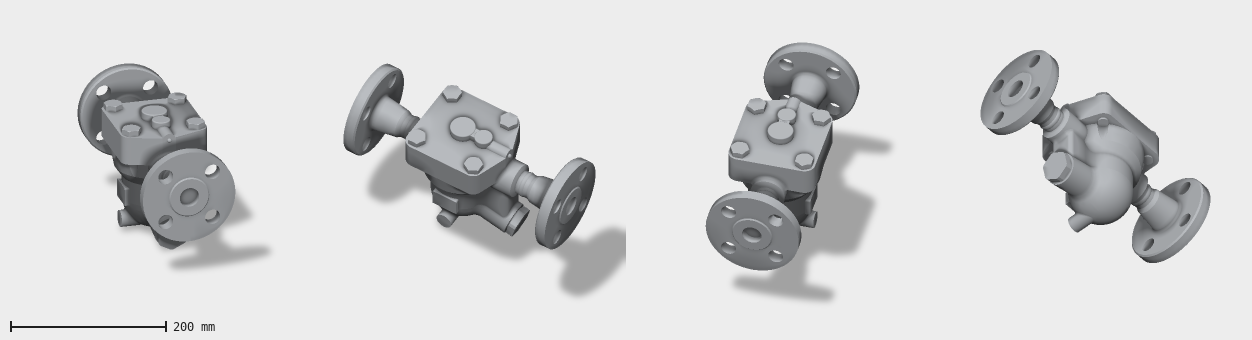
import cadquery as cq
import math


face_to_face = 309.0
run_middle_x = 10.0
flange_radius = 62.0
flange_edge_break = 2.0
flange_back = 137.0
raised_face_height = 1.6
raised_face_radius = 25.4
raised_face_base_radius = 27.0
bolt_hole_diameter = 20.0
bolt_hole_count = 4
bolt_circle_diameter = 88.9
bore_diameter = 26.0
bore_depth = 10.0
hub_fillet = 3.3
hub_large_radius = 23.4
hub_small_radius = 19.0
hub_small_end = 101.7
neck_radius = 16.0
neck_outer_end = 96.1
weld_bead_radius = 17.0
weld_bead_outer = 90.4
weld_bead_inner = 84.2
socket_radius = 23.0
socket_end = 75.9
socket_shoulder_end = 79.2

plate_half_width = 57.5
plate_corner_radius = 14.0
plate_bottom = 7.0
plate_seam = 26.7
plate_top = 44.7
nose_x = 70.0
nose_half_width = 9.0
nose_slant = math.radians(19.6)
plate_pipe_fillet = 3.5

bolt_offset = 43.0
bolt_across_flats = 22.0
bolt_head_height = 8.0
bolt_head_chamfer = 1.0
bolt_shank_diameter = 14.0
bolt_shank_bottom = plate_bottom - 2.8
bolt_relief_radius = 8.6

boss_top = 55.3
boss_edge_radius = 1.5
center_boss_radius = 16.7
side_boss_radius = 12.0
side_boss_x = 31.4
link_rib_width = 14.0
link_rib_top = 54.0
nose_rib_radius = 9.0
nose_rib_axis_z = 41.3
nose_dome_radius = 3.0
nose_dome_x = nose_x + 0.5

bowl_radius = 42.0
dome_center_z = -62.6
bowl_cone_bottom = -33.0
bowl_shoulder_z = -19.0
bowl_shoulder_radius = 52.2
bowl_top_radius = 57.5

pad_x = (-18.6, 17.7)
pad_z = (-66.5, -42.3)
pad_face_y = -44.7
pad_corner_radius = 2.5

drain_radius = 11.0
drain_z = -91.0
drain_end_y = -46.5
drain_fillet = 2.5

web_half_width = 17.0
web_end_x = 76.4
web_end_radius = 6.0
web_root_radius = 16.0
web_sink = 12.0
web_root_y = web_half_width + web_root_radius
web_root_x = math.sqrt((bowl_radius + web_root_radius) ** 2 - web_root_y**2)
web_bottom = dome_center_z - bowl_radius
web_pipe_fillet = 5.0
web_branch_fillet = 3.0

branch_angle = 15.0
branch_radius = 22.0
branch_end = 80.0
branch_root_radius = 15.0
plug_across_flats = 37.5
plug_corner_radius = 20.55
plug_seat_radius = 17.0
plug_hex_start = 81.5
plug_end = 91.3


def cylinder_x(radius, x_start, x_end, z=0.0):
    return cq.Workplane("YZ", origin=(x_start, 0, z)).circle(radius).extrude(x_end - x_start)


def cylinder_z(radius, z_start, z_end, x=0.0, y=0.0):
    return cq.Workplane("XY", origin=(x, y, z_start)).circle(radius).extrude(z_end - z_start)


def hex_prism(across_flats, height):
    return cq.Workplane("XY").polygon(6, across_flats / math.cos(math.pi / 6)).extrude(height)


def chamfered_hex(across_flats, height, chamfer):
    """Hexagonal head with the outer corners turned off at its top."""
    corner_radius = across_flats / 2 / math.cos(math.pi / 6)
    turned = cq.Workplane("XY").circle(corner_radius).extrude(height)
    turned = turned.faces(">Z").chamfer(chamfer, corner_radius - across_flats / 2)
    return hex_prism(across_flats, height).intersect(turned)


def flanged_end():
    """Neck, welding hub and flange on the +X end, measured from the run middle."""
    face = face_to_face / 2
    step = face - raised_face_height
    body = (
        cq.Workplane("XY")
        .moveTo(socket_end - 1, 0)
        .lineTo(socket_end - 1, socket_radius)
        .lineTo(socket_end, socket_radius)
        .lineTo(socket_shoulder_end, neck_radius)
        .lineTo(weld_bead_inner, neck_radius)
        .threePointArc(
            ((weld_bead_inner + weld_bead_outer) / 2, weld_bead_radius),
            (weld_bead_outer, neck_radius),
        )
        .lineTo(neck_outer_end, neck_radius)
        .lineTo(hub_small_end, hub_small_radius)
        .lineTo(flange_back - hub_fillet, hub_large_radius)
        .radiusArc((flange_back, hub_large_radius + hub_fillet), -hub_fillet)
        .lineTo(flange_back, flange_radius - flange_edge_break)
        .lineTo(flange_back + flange_edge_break, flange_radius)
        .lineTo(step, flange_radius)
        .lineTo(step, raised_face_base_radius)
        .lineTo(face, raised_face_radius)
        .lineTo(face, 0)
        .close()
        .revolve(360, (0, 0, 0), (1, 0, 0))
    )
    holes = (
        cq.Workplane("YZ", origin=(flange_back, 0, 0))
        .polarArray(bolt_circle_diameter / 2, 45, 360, bolt_hole_count)
        .circle(bolt_hole_diameter / 2)
        .extrude(face - flange_back)
    )
    return body.cut(holes).cut(cylinder_x(bore_diameter / 2, face - bore_depth, face))


def plate_slab(bottom, top):
    """Slab of the plate outline, drawn out to a blunt nose on the +X side."""
    slant_end_x = nose_x - (plate_half_width - nose_half_width) * math.tan(nose_slant)
    corners = [
        (-plate_half_width, -plate_half_width),
        (slant_end_x, -plate_half_width),
        (nose_x, -nose_half_width),
        (nose_x, nose_half_width),
        (slant_end_x, plate_half_width),
        (-plate_half_width, plate_half_width),
    ]
    slab = cq.Workplane("XY", origin=(0, 0, bottom)).polyline(corners).close().extrude(top - bottom)
    return slab.edges("|Z").edges("<Y or >Y").fillet(plate_corner_radius)


def body_plate_on_pipe():
    """Body plate joined to the pipe, with a fillet where the pipe leaves the plate."""
    pipe = cylinder_x(socket_radius, run_middle_x - socket_end, run_middle_x + socket_end)
    joined = plate_slab(plate_bottom, plate_top).union(pipe)
    pipe_zone = cq.selectors.BoxSelector(
        (-plate_half_width - 1, -socket_radius, plate_bottom + 1),
        (nose_x + 1, socket_radius, socket_radius + 1),
    )
    joined = joined.edges(pipe_zone).fillet(plate_pipe_fillet)
    return joined.cut(plate_slab(plate_seam, plate_top))


def bowl():
    body = (
        cq.Workplane("XZ")
        .moveTo(0, plate_bottom)
        .lineTo(bowl_top_radius, plate_bottom)
        .lineTo(bowl_shoulder_radius, bowl_shoulder_z)
        .lineTo(bowl_radius, bowl_cone_bottom)
        .lineTo(bowl_radius, dome_center_z)
        .radiusArc((0, dome_center_z - bowl_radius), bowl_radius)
        .close()
        .revolve(360, (0, 0, 0), (0, 1, 0))
    )
    for x in (-bolt_offset, bolt_offset):
        for y in (-bolt_offset, bolt_offset):
            body = body.cut(cylinder_z(bolt_relief_radius, bowl_shoulder_z - 1, plate_bottom, x, y))
    drain = cq.Workplane("XZ", origin=(0, 0, drain_z)).circle(drain_radius).extrude(-drain_end_y)
    body = body.union(drain)
    drain_rim = cq.selectors.BoxSelector(
        (-drain_radius - 1, -bowl_radius, drain_z - drain_radius - 1),
        (drain_radius + 1, -1, drain_z + drain_radius + 1),
    )
    return body.edges(drain_rim).fillet(drain_fillet)


def nameplate_pad():
    width = pad_x[1] - pad_x[0]
    height = pad_z[1] - pad_z[0]
    center = (sum(pad_x) / 2, 0, sum(pad_z) / 2)
    pad = cq.Workplane("XZ", origin=center).rect(width, height).extrude(-pad_face_y)
    return pad.edges("|Y and >Z").fillet(pad_corner_radius)


def inclined(shape):
    """Tilt a shape built along +X down onto the branch axis."""
    return shape.rotate((0, 0, 0), (0, 1, 0), branch_angle).translate((0, 0, dome_center_z))


def trim_to_branch(shape):
    """Cut away what lies below a plane parallel to the branch axis and just above it."""
    size = face_to_face
    below = cq.Workplane("XY").box(size, size, size).translate((0, 0, web_sink - size / 2))
    return shape.cut(inclined(below))


def branch():
    """Strainer branch with a concave root tangent to the dome."""
    root_center_radius = branch_radius + branch_root_radius
    center_distance = bowl_radius + branch_root_radius
    root_end = math.sqrt(center_distance**2 - root_center_radius**2)
    touch = bowl_radius / center_distance
    tube = (
        cq.Workplane("XY")
        .lineTo(root_end * touch, root_center_radius * touch)
        .radiusArc((root_end, branch_radius), -branch_root_radius)
        .lineTo(branch_end, branch_radius)
        .lineTo(branch_end, 0)
        .close()
        .revolve(360, (0, 0, 0), (1, 0, 0))
    )
    return inclined(tube)


def plug():
    """Hexagonal plug with its six corners turned down to a cylinder."""
    length = plug_end - plug_hex_start
    head = hex_prism(plug_across_flats, length).intersect(cylinder_z(plug_corner_radius, 0, length))
    head = head.rotate((0, 0, 0), (0, 1, 0), 90).translate((plug_hex_start, 0, 0))
    return inclined(head.union(cylinder_x(plug_seat_radius, branch_end - 1, plug_hex_start)))


def cover_bolt(x, y):
    head = chamfered_hex(bolt_across_flats, bolt_head_height, bolt_head_chamfer)
    turn = 30 if x * y < 0 else 0
    head = head.rotate((0, 0, 0), (0, 0, 1), turn).translate((x, y, plate_top))
    return head.union(cylinder_z(bolt_shank_diameter / 2, bolt_shank_bottom, plate_top, x, y))


def cover_details():
    center_boss = cylinder_z(center_boss_radius, plate_top, boss_top)
    side_boss = cylinder_z(side_boss_radius, plate_top, boss_top, side_boss_x)
    link_rib = cq.Workplane("XY", origin=(side_boss_x / 2, 0, plate_top))
    link_rib = link_rib.rect(side_boss_x, link_rib_width).extrude(link_rib_top - plate_top)
    nose_dome = cq.Workplane("XY").sphere(nose_dome_radius)
    return (
        center_boss.faces(">Z").edges().fillet(boss_edge_radius)
        .union(side_boss.faces(">Z").edges().fillet(boss_edge_radius))
        .union(link_rib)
        .union(cylinder_x(nose_rib_radius, side_boss_x, nose_x, nose_rib_axis_z))
        .union(nose_dome.translate((nose_dome_x, 0, nose_rib_axis_z)))
    )


def web():
    """Flat web along the pipe with a rounded outer end, reaching down into the branch."""
    bend_x = web_end_x - web_end_radius
    bend_y = web_half_width - web_end_radius
    outline = (
        cq.Workplane("XY", origin=(0, 0, web_bottom))
        .moveTo(0, -web_half_width)
        .lineTo(bend_x, -web_half_width)
        .radiusArc((web_end_x, -bend_y), -web_end_radius)
        .lineTo(web_end_x, bend_y)
        .radiusArc((bend_x, web_half_width), -web_end_radius)
        .lineTo(0, web_half_width)
        .close()
    )
    return trim_to_branch(outline.extrude(-web_bottom))


def web_roots():
    """Concave roots tangent to the bowl below its shoulder and to the web sides."""
    touch = bowl_radius / (bowl_radius + web_root_radius)
    outline = (
        cq.Workplane("XY", origin=(0, 0, web_bottom))
        .lineTo(web_root_x * touch, -web_root_y * touch)
        .radiusArc((web_root_x, -web_half_width), web_root_radius)
        .lineTo(web_root_x, web_half_width)
        .radiusArc((web_root_x * touch, web_root_y * touch), web_root_radius)
        .close()
    )
    return trim_to_branch(outline.extrude(bowl_shoulder_z - web_bottom))


def web_edges(shape, z_low, z_high):
    """Edges of the web beyond its roots, between two heights."""
    zone = cq.selectors.BoxSelector(
        (bowl_radius, -web_half_width - 1, z_low),
        (web_end_x + 1, web_half_width + 1, z_high),
    )
    return shape.edges(zone)


def web_on_pipe():
    """Web joined to the outlet pipe, with a fillet along the joint."""
    joined = web().union(cylinder_x(socket_radius, web_root_x / 2, run_middle_x + socket_end))
    return web_edges(joined, -socket_radius - 1, -1).fillet(web_pipe_fillet)


def trap_body():
    """Everything below the parting line except the flanged ends."""
    body = body_plate_on_pipe().union(bowl()).union(web_on_pipe()).union(web_roots()).union(branch())
    branch_joint = web_edges(body, dome_center_z - branch_radius / 2, dome_center_z + web_sink)
    return branch_joint.fillet(web_branch_fillet).union(plug()).union(nameplate_pad())


def cover():
    """Top plate with its bosses, ribs and bolts."""
    top = plate_slab(plate_seam, plate_top).union(cover_details())
    for x in (-bolt_offset, bolt_offset):
        for y in (-bolt_offset, bolt_offset):
            top = top.union(cover_bolt(x, y))
    return top


result = trap_body()
flange_end = flanged_end()
for end in (flange_end, flange_end.mirror("YZ")):
    result = result.union(end.translate((run_middle_x, 0, 0)))
result = result.union(cover(), clean=False)